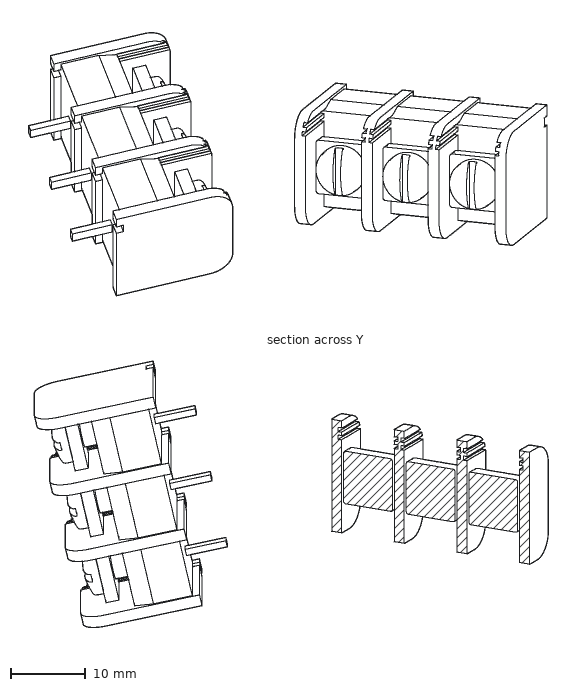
import cadquery as cq
import math


poles = 3
length = 30.12
wall_thickness = 1.57
wall_depth = 16.35
wall_height = 15.87
corner_radius = 3.2
pitch = (length - wall_thickness) / poles
wall_top = wall_height / 2

notch_drop = 1.57
notch_height = 1.3

groove_depth = 0.5
groove_height = 0.55
groove_drops = (1.05, 2.15)

body_setback = 1.0
body_depth = 7.92
body_height = 15.12
slope_run = 2.6
slope_drop = 0.87
body_back = body_setback + body_depth
body_top = body_height / 2

pin_width = 0.9
pin_height = 1.5
pin_overhang = 4.6

shank_diameter = 3.5
shank_length = 2.08
plate_size = 7.5
plate_thickness = 1.78
plate_corner_radius = 0.4
head_diameter = 6.7
head_side_height = 1.08
head_edge_rise = 0.5
head_edge_inset = 0.3
head_height = 2.25
slot_width = 1.08
slot_depth = 1.1
plate_front = body_back + shank_length
head_front = plate_front + plate_thickness

wall_centers = [(i - poles / 2) * pitch for i in range(poles + 1)]
pole_centers = [(i - (poles - 1) / 2) * pitch for i in range(poles)]


def block(x_range, y_range, z_range):
    """Axis-aligned box given by its limits on each axis."""
    sizes = [high - low for low, high in (x_range, y_range, z_range)]
    corner = (x_range[0], y_range[0], z_range[0])
    return cq.Workplane("XY").box(*sizes, centered=False).translate(corner)


def make_body():
    """Bar through all the walls, sloping down to its back face above and below."""
    edge_height = body_top - slope_drop
    slope_start = body_back - slope_run
    profile = [
        (body_setback, -body_top),
        (slope_start, -body_top),
        (body_back, -edge_height),
        (body_back, edge_height),
        (slope_start, body_top),
        (body_setback, body_top),
    ]
    return cq.Workplane("YZ").polyline(profile).close().extrude(length / 2, both=True)


def make_wall(x_center):
    """Barrier wall with rounded back corners, front notch and cover grooves."""
    left = x_center - wall_thickness / 2
    right = x_center + wall_thickness / 2
    wall = block((left, right), (0, wall_depth), (-wall_top, wall_top))
    wall = wall.edges("|X and >Y").fillet(corner_radius)

    notch_top = wall_top - notch_drop
    wall = wall.cut(block((left, right), (0, body_setback), (notch_top - notch_height, notch_top)))

    inner_faces = []
    if x_center > wall_centers[0]:
        inner_faces.append((left, left + groove_depth))
    if x_center < wall_centers[-1]:
        inner_faces.append((right - groove_depth, right))
    for groove_span in inner_faces:
        for drop in groove_drops:
            groove_top = wall_top - drop
            groove_z = (groove_top - groove_height, groove_top)
            wall = wall.cut(block(groove_span, (body_setback, wall_depth), groove_z))
    return wall


def make_pin():
    """Rectangular solder pin standing out of the front of the body."""
    half_width = pin_width / 2
    half_height = pin_height / 2
    return block((-half_width, half_width), (-pin_overhang, body_setback), (-half_height, half_height))


def make_screw():
    """Shank, square clamp plate and slotted domed head, along the Y axis."""
    shank = (
        cq.Workplane("XZ", origin=(0, body_back, 0))
        .circle(shank_diameter / 2)
        .extrude(-shank_length)
    )
    plate = (
        cq.Workplane("XZ", origin=(0, plate_front, 0))
        .rect(plate_size, plate_size)
        .extrude(-plate_thickness)
        .edges("|Y")
        .fillet(plate_corner_radius)
    )

    head_radius = head_diameter / 2
    dome_radius = head_radius - head_edge_inset
    side_end = head_front + head_side_height
    dome_start = side_end + head_edge_rise
    head_end = head_front + head_height
    dome_rise = head_end - dome_start
    sphere_radius = (dome_radius**2 + dome_rise**2) / (2 * dome_rise)
    mid_radius = dome_radius / 2
    mid_y = head_end - sphere_radius + math.sqrt(sphere_radius**2 - mid_radius**2)
    head = (
        cq.Workplane("XY")
        .moveTo(0, head_front)
        .lineTo(head_radius, head_front)
        .lineTo(head_radius, side_end)
        .tangentArcPoint((dome_radius, dome_start), relative=False)
        .threePointArc((mid_radius, mid_y), (0, head_end))
        .close()
        .revolve(360, (0, 0, 0), (0, 1, 0))
    )
    slot = block(
        (-slot_width / 2, slot_width / 2),
        (head_end - slot_depth, head_end),
        (-head_radius, head_radius),
    )
    return shank.union(plate).union(head.cut(slot))


result = make_body()
for x_center in wall_centers:
    result = result.union(make_wall(x_center))

pin = make_pin()
screw = make_screw()
for x_center in pole_centers:
    result = result.union(pin.translate((x_center, 0, 0)))
    result = result.union(screw.translate((x_center, 0, 0)))